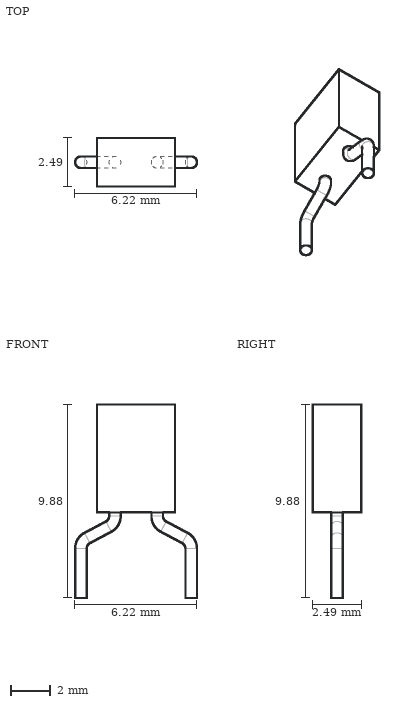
import cadquery as cq
import math

HOUSING_WIDTH = 3.99
HOUSING_DEPTH = 2.49
HOUSING_HEIGHT = 5.5

TOTAL_HEIGHT = 9.88
TOTAL_WIDTH = 6.22
LEAD_DIAMETER = 0.6
LEAD_EXIT_X = 1.08
EXIT_LENGTH = 0.2
BEND_RADIUS = 0.6
BEND_ANGLE = math.radians(62)

LEAD_FOOT_X = (TOTAL_WIDTH - LEAD_DIAMETER) / 2
LEAD_FOOT_Z = HOUSING_HEIGHT - TOTAL_HEIGHT


def make_housing():
    return cq.Workplane("XY").box(
        HOUSING_WIDTH, HOUSING_DEPTH, HOUSING_HEIGHT, centered=(True, True, False)
    )


def bend_offset(angle):
    """Sideways and downward travel after turning by angle from vertical."""
    return BEND_RADIUS * (1 - math.cos(angle)), BEND_RADIUS * math.sin(angle)


def make_lead(side):
    """Lead on the +X (side = 1) or -X (side = -1) half."""
    bend_x, bend_z = bend_offset(BEND_ANGLE)
    middle_x, middle_z = bend_offset(BEND_ANGLE / 2)

    slope_x = LEAD_FOOT_X - LEAD_EXIT_X - 2 * bend_x
    slope_z = slope_x / math.tan(BEND_ANGLE)

    upper_z = -EXIT_LENGTH
    lower_z = upper_z - 2 * bend_z - slope_z

    axis = (
        cq.Workplane("XZ")
        .moveTo(side * LEAD_EXIT_X, 0)
        .lineTo(side * LEAD_EXIT_X, upper_z)
        .threePointArc(
            (side * (LEAD_EXIT_X + middle_x), upper_z - middle_z),
            (side * (LEAD_EXIT_X + bend_x), upper_z - bend_z),
        )
        .lineTo(side * (LEAD_FOOT_X - bend_x), lower_z + bend_z)
        .threePointArc(
            (side * (LEAD_FOOT_X - middle_x), lower_z + middle_z),
            (side * LEAD_FOOT_X, lower_z),
        )
        .lineTo(side * LEAD_FOOT_X, LEAD_FOOT_Z)
    )
    return (
        cq.Workplane("XY")
        .center(side * LEAD_EXIT_X, 0)
        .circle(LEAD_DIAMETER / 2)
        .sweep(axis)
    )


housing = make_housing()
leads = [make_lead(side) for side in (-1, 1)]

result = cq.Compound.makeCompound([housing.val(), *[lead.val() for lead in leads]])